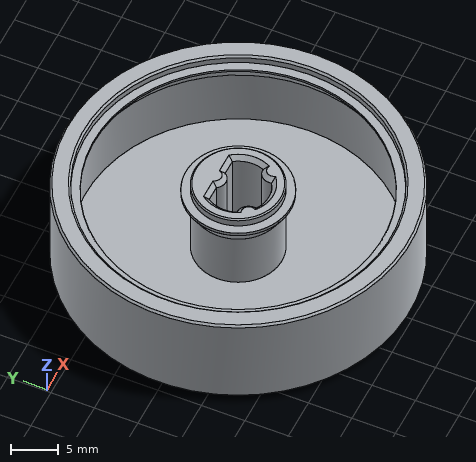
import cadquery as cq
import math

outer_diameter = 39.4
height = 12.0
floor_thickness = 2.0
bottom_chamfer = 1.0
edge_chamfer = 0.25

cavity_diameter = 35.0
lip_diameter = 33.0
step_depth = 1.0
lip_land = 0.28
lip_cone_height = 1.75

hub_diameter = 10.0
collar_diameter = 12.0
collar_land = 0.4
collar_cone_height = 1.75
hub_edge_chamfer = 0.15

socket_radius = 3.5
socket_flat = 2.0
rib_radius = 1.3
ribs = [(2.7, 90), (4.15, 220), (4.15, 320)]
socket_chamfer = 0.5

outer_radius = outer_diameter / 2
step_z = height - step_depth
mouth_z = height - socket_chamfer


def make_cup():
    """Round cup with chamfered outer edges."""
    cup = cq.Workplane("XY").circle(outer_radius).extrude(height)
    cup = cup.faces("<Z").chamfer(bottom_chamfer)
    return cup.faces(">Z").chamfer(edge_chamfer)


def make_cavity():
    """Revolved cavity: seat, lip, undercut cone and main wall."""
    wall = cavity_diameter / 2
    lip = lip_diameter / 2
    lip_bottom = step_z - lip_land
    profile = [
        (0, floor_thickness),
        (wall, floor_thickness),
        (wall, lip_bottom - lip_cone_height),
        (lip, lip_bottom),
        (lip, step_z),
        (wall, step_z),
        (wall, height - edge_chamfer),
        (wall + edge_chamfer, height),
        (0, height),
    ]
    return cq.Workplane("XZ").polyline(profile).close().revolve(360, (0, 0), (0, 1))


def make_hub():
    """Revolved post with a snap collar just below its top."""
    post = hub_diameter / 2
    collar = collar_diameter / 2
    collar_bottom = step_z - collar_land
    profile = [
        (0, height),
        (post - hub_edge_chamfer, height),
        (post, height - hub_edge_chamfer),
        (post, step_z),
        (collar, step_z),
        (collar, collar_bottom),
        (post, collar_bottom - collar_cone_height),
        (post, bottom_chamfer),
        (0, bottom_chamfer),
    ]
    return cq.Workplane("XZ").polyline(profile).close().revolve(360, (0, 0), (0, 1))


def make_tapered_post(x, y, radius, mouth_radius):
    """Vertical post of the socket's depth that tapers to mouth_radius over the bevel."""
    straight = cq.Solid.makeCylinder(radius, mouth_z - floor_thickness, cq.Vector(x, y, floor_thickness))
    bevel = cq.Solid.makeCone(radius, mouth_radius, socket_chamfer, cq.Vector(x, y, mouth_z))
    return cq.Workplane("XY").add(straight).union(cq.Workplane("XY").add(bevel))


def make_flat_side():
    """Block on the +Y side whose face is the socket flat, sloping outward at the mouth."""
    mouth_radius = socket_radius + socket_chamfer
    profile = [
        (socket_flat, floor_thickness),
        (socket_flat, mouth_z),
        (socket_flat + socket_chamfer, height),
        (mouth_radius, height),
        (mouth_radius, floor_thickness),
    ]
    return cq.Workplane("YZ").polyline(profile).close().extrude(mouth_radius, both=True)


def make_socket():
    """Blind D-shaped socket notched by three round ribs, bevelled all around its mouth."""
    socket = make_tapered_post(0, 0, socket_radius, socket_radius + socket_chamfer)
    socket = socket.cut(make_flat_side())
    for distance, angle in ribs:
        x = distance * math.cos(math.radians(angle))
        y = distance * math.sin(math.radians(angle))
        socket = socket.cut(make_tapered_post(x, y, rib_radius, rib_radius - socket_chamfer))
    return socket


result = make_cup().cut(make_cavity()).union(make_hub()).cut(make_socket())